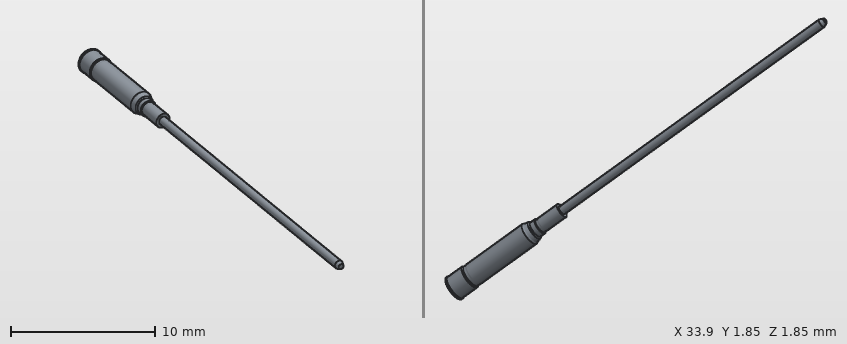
import cadquery as cq

length = 33.93

flange_diameter = 1.85
head_diameter = 1.8
groove_diameter = 1.65
body_diameter = 1.7
shoulder_start_diameter = 1.55
shoulder_end_diameter = 1.43
neck_diameter = 1.22
relief_diameter = 1.05
collar_diameter = 1.1
rod_diameter = 0.65
tip_diameter = 0.4

flange_end = 0.15
head_end = 1.45
groove_start = 1.55
groove_end = 1.75
body_start = 1.85
body_end = 6.92
shoulder_start = 7.05
shoulder_end = 7.35
neck_start = 7.45
neck_end = 7.87
relief_start = 7.9
relief_end = 8.08
collar_start = 8.18
collar_end = 9.87
tip_length = 0.3
tip_start = length - tip_length


def revolve_profile():
    """Half section of the pin, turned around the X axis."""
    profile = (
        cq.Workplane("XY")
        .lineTo(0, flange_diameter / 2)
        .lineTo(flange_end, flange_diameter / 2)
        .lineTo(flange_end, head_diameter / 2)
        .lineTo(head_end, head_diameter / 2)
        .lineTo(groove_start, groove_diameter / 2)
        .lineTo(groove_end, groove_diameter / 2)
        .lineTo(body_start, body_diameter / 2)
        .lineTo(body_end, body_diameter / 2)
        .lineTo(shoulder_start, shoulder_start_diameter / 2)
        .lineTo(shoulder_end, shoulder_end_diameter / 2)
        .lineTo(neck_start, neck_diameter / 2)
        .lineTo(neck_end, neck_diameter / 2)
        .lineTo(relief_start, relief_diameter / 2)
        .lineTo(relief_end, relief_diameter / 2)
        .lineTo(collar_start, collar_diameter / 2)
        .lineTo(collar_end, collar_diameter / 2)
        .lineTo(collar_end, rod_diameter / 2)
        .lineTo(tip_start, rod_diameter / 2)
        .lineTo(length, tip_diameter / 2)
        .lineTo(length, 0)
        .close()
    )
    return profile.revolve(360, (0, 0, 0), (1, 0, 0))


result = revolve_profile()